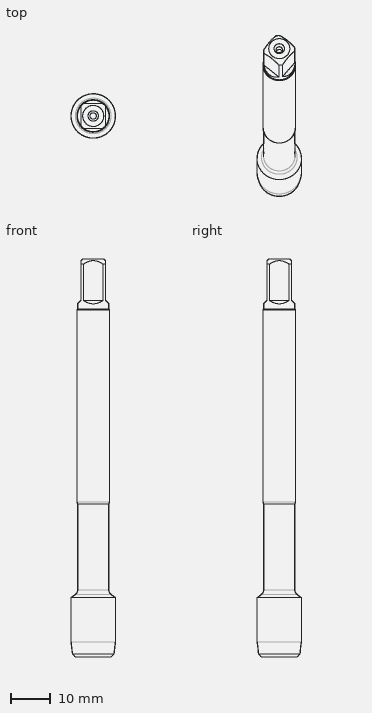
import cadquery as cq
import math

TOTAL_LENGTH = 100.0

HEAD_DIAMETER = 11.2
LEAD_DIAMETER = 10.5
TIP_CHAMFER = 0.8
LEAD_TOP = 3.8
HEAD_TOP = 14.9
SHOULDER_ANGLE = 37.0
SHOULDER_FILLET = 1.3

NECK_DIAMETER = 7.9
SHANK_DIAMETER = 8.2
SHANK_BOTTOM = 38.4
SHANK_TOP = 87.4
SHANK_CHAMFER = 0.5
SHANK_TOP_CHAMFER = 0.2

SQUARE_CORNER_DIAMETER = 7.9
SQUARE_WIDTH = 6.2
SQUARE_BOTTOM = 89.6
RUNOUT_DROP = 0.9
DRIVE_TIP_DIAMETER = 5.3

CENTRE_DIAMETER = 1.6
COUNTERSINK_DIAMETER = 2.6
COUNTERSINK_ANGLE = 60.0
CENTRE_DEPTH = 3.0


def revolve_profile(diameters_and_heights):
    """Solid of revolution about Z; the profile is closed along the axis."""
    points = [(diameter / 2, height) for diameter, height in diameters_and_heights]
    return cq.Workplane("XZ").polyline(points).close().revolve(360, (0, 0), (0, 1))


def make_cutting_head():
    """Head with lead taper, shoulder and the neck that carries the shank."""
    lead_radius = LEAD_DIAMETER / 2
    head_radius = HEAD_DIAMETER / 2
    neck_radius = NECK_DIAMETER / 2
    slope = math.radians(SHOULDER_ANGLE)

    corner_height = HEAD_TOP + (head_radius - neck_radius) * math.tan(slope)
    tangent_length = SHOULDER_FILLET * math.tan((math.pi / 2 - slope) / 2)
    fillet_start = (
        neck_radius + tangent_length * math.cos(slope),
        corner_height - tangent_length * math.sin(slope),
    )
    fillet_end = (neck_radius, corner_height + tangent_length)

    return (
        cq.Workplane("XZ")
        .lineTo(lead_radius - TIP_CHAMFER, 0)
        .lineTo(lead_radius, TIP_CHAMFER)
        .lineTo(head_radius, LEAD_TOP)
        .lineTo(head_radius, HEAD_TOP)
        .lineTo(*fillet_start)
        .tangentArcPoint(fillet_end, relative=False)
        .lineTo(neck_radius, SHANK_BOTTOM)
        .lineTo(0, SHANK_BOTTOM)
        .close()
        .revolve(360, (0, 0), (0, 1))
    )


def make_shank_blank():
    """Round shank with a 45 degree chamfer on the end of the drive."""
    tip_chamfer = (SQUARE_CORNER_DIAMETER - DRIVE_TIP_DIAMETER) / 2
    return revolve_profile([
        (0, SHANK_BOTTOM),
        (NECK_DIAMETER, SHANK_BOTTOM),
        (SHANK_DIAMETER, SHANK_BOTTOM + SHANK_CHAMFER),
        (SHANK_DIAMETER, SHANK_TOP - SHANK_TOP_CHAMFER),
        (SQUARE_CORNER_DIAMETER, SHANK_TOP),
        (SQUARE_CORNER_DIAMETER, TOTAL_LENGTH - tip_chamfer),
        (DRIVE_TIP_DIAMETER, TOTAL_LENGTH),
        (0, TOTAL_LENGTH),
    ])


def make_flat_cutter():
    """Tool for one flat of the square, with a sloping run-out at its foot."""
    inner = SQUARE_WIDTH / 2
    outer = SQUARE_CORNER_DIAMETER / 2
    return (
        cq.Workplane("XZ")
        .polyline([
            (inner, SQUARE_BOTTOM),
            (outer, SQUARE_BOTTOM - RUNOUT_DROP),
            (SHANK_DIAMETER, SQUARE_BOTTOM - RUNOUT_DROP),
            (SHANK_DIAMETER, TOTAL_LENGTH),
            (inner, TOTAL_LENGTH),
        ])
        .close()
        .extrude(SHANK_DIAMETER / 2, both=True)
    )


def make_centre_hole_cutter():
    """Drilled centre with a countersink and a conical bottom."""
    rim_width = (COUNTERSINK_DIAMETER - CENTRE_DIAMETER) / 2
    countersink_depth = rim_width / math.tan(math.radians(COUNTERSINK_ANGLE / 2))
    return revolve_profile([
        (0, TOTAL_LENGTH),
        (COUNTERSINK_DIAMETER, TOTAL_LENGTH),
        (CENTRE_DIAMETER, TOTAL_LENGTH - countersink_depth),
        (CENTRE_DIAMETER, TOTAL_LENGTH - CENTRE_DEPTH),
        (0, TOTAL_LENGTH - CENTRE_DEPTH - CENTRE_DIAMETER / 2),
    ])


def make_shank():
    """Shank with its square drive and centre hole."""
    shank = make_shank_blank()
    for angle in (0, 90, 180, 270):
        shank = shank.cut(make_flat_cutter().rotate((0, 0, 0), (0, 0, 1), angle))
    return shank.cut(make_centre_hole_cutter())


cutting_head = make_cutting_head()
shank = make_shank()

result = cq.Compound.makeCompound([cutting_head.val(), shank.val()])